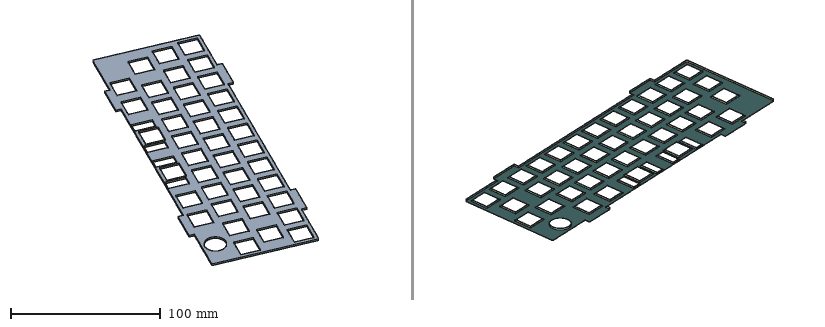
import cadquery as cq

key_pitch = 19.05
columns = 12
rows = 4
plate_length = columns * key_pitch
plate_width = rows * key_pitch
thickness = 1.5
corner_radius = 1.0

overall_width = 83.82
tab_length = 21.3
tab_offset = 70.2

switch_size = 14.0
encoder_diameter = 15.0
stabilizer_width = 7.0
stabilizer_height = 15.0
stabilizer_spread = 11.94
stabilizer_drop = 1.5

KEY = "key"
STABILIZED = "stabilized key"
ENCODER = "encoder"
BLANK = "blank"
layout = [
    [(KEY, 1)] * columns,
    [(KEY, 1.25)] + [(KEY, 1)] * 9 + [(KEY, 1.75)],
    [(KEY, 1.75)] + [(KEY, 1)] * 8 + [(KEY, 1.25), (KEY, 1)],
    [
        (BLANK, 1.25),
        (KEY, 1),
        (KEY, 1.25),
        (STABILIZED, 2.25),
        (STABILIZED, 2),
        (KEY, 1.25),
        (KEY, 1),
        (ENCODER, 2),
    ],
]


def place_centers(wanted_kinds):
    """Return the XY centers of all layout places of the wanted kinds."""
    centers = []
    for row_index, row in enumerate(layout):
        y = plate_width / 2 - (row_index + 0.5) * key_pitch
        left = -plate_length / 2
        for kind, units in row:
            width = units * key_pitch
            if kind in wanted_kinds:
                centers.append((left + width / 2, y))
            left += width
    return centers


def stabilizer_centers():
    """Return the centers of the slot pairs flanking each stabilized key."""
    centers = []
    for x, y in place_centers([STABILIZED]):
        for side in (-1, 1):
            centers.append((x + side * stabilizer_spread, y - stabilizer_drop))
    return centers


def make_blank():
    """Flat plate with rounded corners and tabs standing out of both long edges."""
    plate = cq.Workplane("XY").box(plate_length, plate_width, thickness)
    plate = plate.edges("|Z").fillet(corner_radius)
    tab_strips = (
        cq.Workplane("XY")
        .pushPoints([(-tab_offset, 0), (tab_offset, 0)])
        .box(tab_length, overall_width, thickness)
    )
    return plate.union(tab_strips)


def through_cutters(centers, length, width):
    """Rectangular cutters reaching past both faces of the plate."""
    return cq.Workplane("XY").pushPoints(centers).box(length, width, 2 * thickness)


def encoder_cutter():
    """Round cutter for the rotary encoder."""
    return (
        cq.Workplane("XY")
        .pushPoints(place_centers([ENCODER]))
        .circle(encoder_diameter / 2)
        .extrude(thickness, both=True)
    )


result = (
    make_blank()
    .cut(through_cutters(place_centers([KEY, STABILIZED]), switch_size, switch_size))
    .cut(through_cutters(stabilizer_centers(), stabilizer_width, stabilizer_height))
    .cut(encoder_cutter())
)